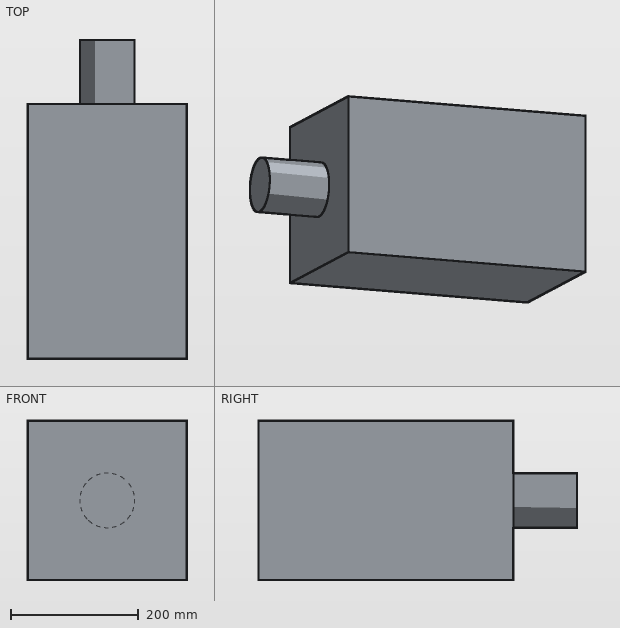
import cadquery as cq

body_side = 250.0
total_length = 500.0
spigot_length = 100.0
spigot_diameter = 86.0

body_length = total_length - spigot_length

body = cq.Workplane("XY").box(body_side, body_length, body_side, centered=(True, False, True))

result = body.faces(">Y").workplane().circle(spigot_diameter / 2).extrude(spigot_length)